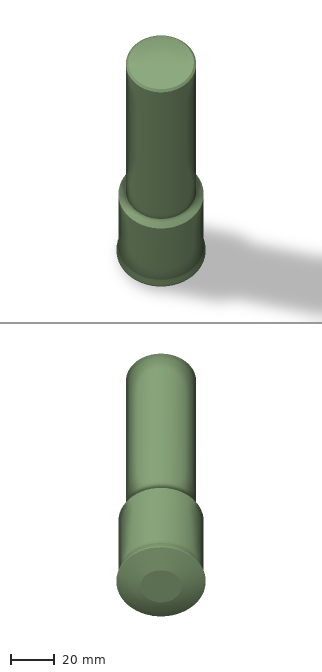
import cadquery as cq

total_height = 150.0
rim_diameter = 40.8

shank_diameter = 32.1
shank_end_chamfer = 1.0
shank_bottom_z = 50.1
neck_diameter = 39.0
neck_top_z = 47.4

head_top_z = 7.4
rim_top_z = 4.0
rim_height = 0.8
tip_diameter = 18.9


def revolve_profile(points):
    """Revolve a half profile of (radius, z) points about the Z axis."""
    return cq.Workplane("XZ").polyline(points).close().revolve(360, (0, 0), (0, 1))


def make_holder():
    """Shank with a conical shoulder down to the neck, seated on the head."""
    shank_radius = shank_diameter / 2
    neck_radius = neck_diameter / 2
    holder = revolve_profile([
        (0, head_top_z),
        (neck_radius, head_top_z),
        (neck_radius, neck_top_z),
        (shank_radius, shank_bottom_z),
        (shank_radius, total_height),
        (0, total_height),
    ])
    return holder.faces(">Z").edges().chamfer(shank_end_chamfer)


def make_head():
    """Round head whose flat top carries the holder."""
    rim_radius = rim_diameter / 2
    return revolve_profile([
        (0, 0),
        (tip_diameter / 2, 0),
        (rim_radius, rim_top_z - rim_height),
        (rim_radius, rim_top_z),
        (neck_diameter / 2, head_top_z),
        (0, head_top_z),
    ])


holder = make_holder()
head = make_head()

result = cq.Compound.makeCompound([holder.val(), head.val()])